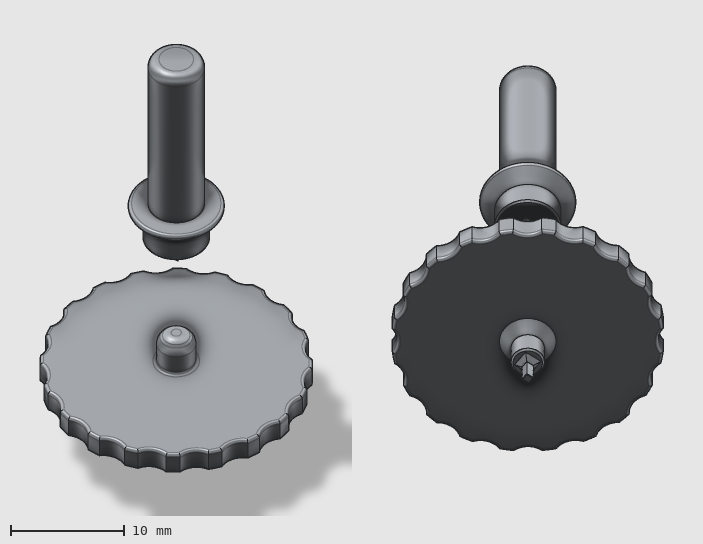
import cadquery as cq

TIP_WIDTH = 0.7
TIP_LENGTH = 2.35
TIP_END_CHAMFER = 0.05
TIP_FLARE = 0.5
BASE_EDGE_CHAMFER = 0.2

WHEEL_RADIUS = 12.0
WHEEL_THICKNESS = 2.27
WHEEL_EDGE_FILLET = 0.3
NOTCH_COUNT = 20
NOTCH_RADIUS = 2.05
NOTCH_DEPTH = 0.5

SHANK_RADIUS = 1.45
SHANK_LENGTH = 2.25
HUB_CONE_HEIGHT = 1.03

KNOB_RADIUS = 1.75
KNOB_HEIGHT = 3.45
KNOB_ROOT_FILLET = 0.3
KNOB_CHAMFER = 0.85
KNOB_ROUNDING = 1.05

PLUNGER_TIP_Z = 20.45
PLUNGER_TOP_Z = 44.6
COLLAR_RADIUS = 2.95
COLLAR_LENGTH = 2.5
FLANGE_HEIGHT = 1.75
FLANGE_RIM_FILLET = 0.3
ROD_RADIUS = 2.5
ROD_TOP_FILLET = 1.0


def cylinder(radius, bottom_z, height):
    """Upright cylinder on the Z axis."""
    return cq.Workplane("XY").workplane(offset=bottom_z).circle(radius).extrude(height)


def cone(bottom_radius, top_radius, bottom_z, height):
    """Upright truncated cone on the Z axis."""
    solid = cq.Solid.makeCone(bottom_radius, top_radius, height, pnt=cq.Vector(0, 0, bottom_z))
    return cq.Workplane("XY").add(solid)


def tipped_cylinder(radius, length, tip_z):
    """Cylinder with a chamfered lower edge, standing on a flared locating tip."""
    base_z = tip_z + TIP_LENGTH
    base = cylinder(radius, base_z, length).faces("<Z").edges().chamfer(BASE_EDGE_CHAMFER)
    pin = cq.Workplane("XY").workplane(offset=tip_z).rect(TIP_WIDTH, TIP_WIDTH).extrude(TIP_LENGTH)
    pin = pin.faces("<Z").edges().chamfer(TIP_END_CHAMFER)
    flare = (
        cq.Workplane("XY")
        .workplane(offset=base_z - TIP_FLARE)
        .rect(TIP_WIDTH, TIP_WIDTH)
        .workplane(offset=TIP_FLARE)
        .rect(TIP_WIDTH + 2 * TIP_FLARE, TIP_WIDTH + 2 * TIP_FLARE)
        .loft(ruled=True)
    )
    return base.union(pin).union(flare)


def notched_disc(bottom_z):
    """Wheel disc with scalloped grip notches and rounded upper and lower edges."""
    disc = cylinder(WHEEL_RADIUS, bottom_z, WHEEL_THICKNESS)
    notch_center_radius = WHEEL_RADIUS - NOTCH_DEPTH + NOTCH_RADIUS
    notches = (
        cq.Workplane("XY")
        .workplane(offset=bottom_z)
        .polarArray(notch_center_radius, 0, 360, NOTCH_COUNT)
        .circle(NOTCH_RADIUS)
        .extrude(WHEEL_THICKNESS)
    )
    return disc.cut(notches).faces("<Z or >Z").edges().fillet(WHEEL_EDGE_FILLET)


def rounded_knob(bottom_z):
    """Stud with a chamfered top whose two chamfer edges are rounded."""
    stud = cylinder(KNOB_RADIUS, bottom_z, KNOB_HEIGHT).faces(">Z").edges().chamfer(KNOB_CHAMFER)
    return stud.edges("%CIRCLE").edges("not <Z").fillet(KNOB_ROUNDING)


def knob_root(bottom_z):
    """Concave ring that blends the wheel face into the side of the knob."""
    outer_radius = KNOB_RADIUS + KNOB_ROOT_FILLET
    profile = (
        cq.Workplane("XZ")
        .moveTo(0, bottom_z)
        .lineTo(outer_radius, bottom_z)
        .radiusArc((KNOB_RADIUS, bottom_z + KNOB_ROOT_FILLET), KNOB_ROOT_FILLET)
        .lineTo(0, bottom_z + KNOB_ROOT_FILLET)
        .close()
    )
    return profile.revolve(360, (0, 0, 0), (0, 1, 0))


def make_thumbwheel():
    """Notched wheel with a tipped stem below and a rounded knob above."""
    cone_z = TIP_LENGTH + SHANK_LENGTH
    disc_z = cone_z + HUB_CONE_HEIGHT
    stem = tipped_cylinder(SHANK_RADIUS, SHANK_LENGTH, 0)
    hub_cone = cone(SHANK_RADIUS, SHANK_RADIUS + HUB_CONE_HEIGHT, cone_z, HUB_CONE_HEIGHT)
    top_face_z = disc_z + WHEEL_THICKNESS
    knob = rounded_knob(top_face_z).union(knob_root(top_face_z))
    return notched_disc(disc_z).union(hub_cone).union(stem).union(knob)


def make_plunger():
    """Rod with a countersink-shaped flange, a collar and a locating tip."""
    cone_z = PLUNGER_TIP_Z + TIP_LENGTH + COLLAR_LENGTH
    rod_z = cone_z + FLANGE_HEIGHT
    collar = tipped_cylinder(COLLAR_RADIUS, COLLAR_LENGTH, PLUNGER_TIP_Z)
    flange = cone(COLLAR_RADIUS, COLLAR_RADIUS + FLANGE_HEIGHT, cone_z, FLANGE_HEIGHT)
    flange = flange.faces(">Z").edges().fillet(FLANGE_RIM_FILLET)
    rod = cylinder(ROD_RADIUS, rod_z, PLUNGER_TOP_Z - rod_z).faces(">Z").edges().fillet(ROD_TOP_FILLET)
    return collar.union(flange).union(rod)


thumbwheel = make_thumbwheel()
plunger = make_plunger()

result = cq.Compound.makeCompound([thumbwheel.val(), plunger.val()])